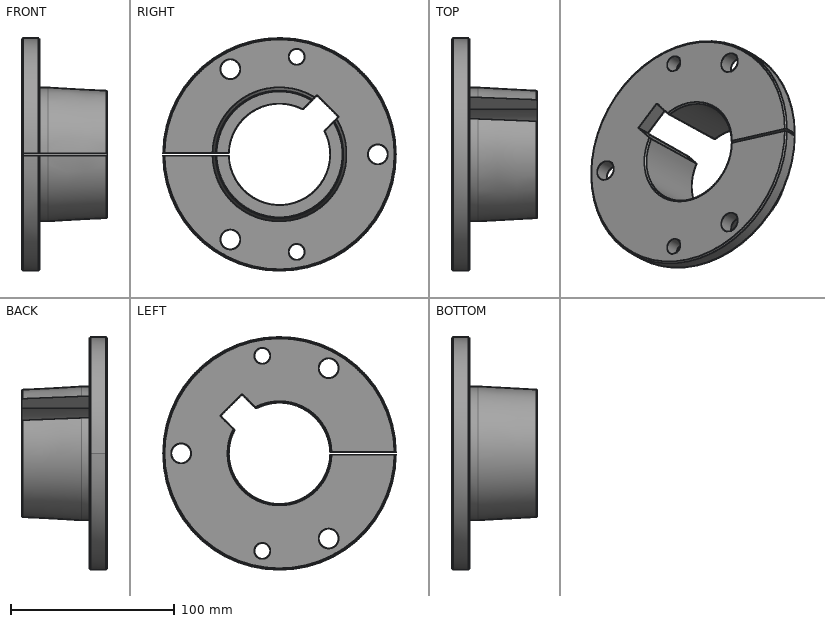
import cadquery as cq
import math

length = 52.5
flange_diameter = 142.9
flange_thickness = 11.0
flange_chamfer = 1.0

hub_radius = 41.2
hub_tip_radius = 39.2
taper_start = 16.0
hub_tip_chamfer = 0.6

bore_radius = 31.0
bore_chamfer = 1.0

keyway_width = 18.7
keyway_floor = 41.9
keyway_angle = 45.0

slit_width = 1.5

bolt_circle_radius = 60.3
bolt_hole_diameter = 12.0
bolt_hole_angles = (0, 120, 240)
jack_circle_radius = 60.7
jack_hole_diameter = 9.6
jack_hole_angles = (80, 280)


def make_flange():
    """Round flange with both rims chamfered."""
    disc = cq.Workplane("YZ").circle(flange_diameter / 2).extrude(flange_thickness)
    return disc.edges().chamfer(flange_chamfer)


def make_hub():
    """Hub with a short straight neck followed by a taper to the free end."""
    profile = [
        (0, 0),
        (0, hub_radius),
        (taper_start, hub_radius),
        (length, hub_tip_radius),
        (length, 0),
    ]
    hub = cq.Workplane("XY").polyline(profile).close().revolve(360, (0, 0, 0), (1, 0, 0))
    return hub.faces(">X").edges().chamfer(hub_tip_chamfer)


def make_bore():
    """Through bore, widened by a chamfer at the flange face."""
    profile = [
        (0, 0),
        (0, bore_radius + bore_chamfer),
        (bore_chamfer, bore_radius),
        (length, bore_radius),
        (length, 0),
    ]
    return cq.Workplane("XY").polyline(profile).close().revolve(360, (0, 0, 0), (1, 0, 0))


def make_keyway():
    """Full-length keyway; it is deeper than the hub wall and opens it."""
    block = cq.Workplane("XY").box(length, keyway_floor, keyway_width, centered=(False, False, True))
    return block.rotate((0, 0, 0), (1, 0, 0), keyway_angle)


def make_slit():
    """Clamping slit from the bore out through the -Y side."""
    block = cq.Workplane("XY").box(length, flange_diameter / 2, slit_width, centered=(False, False, True))
    return block.translate((0, -flange_diameter / 2, 0))


def make_holes(circle_radius, diameter, angles):
    """Through holes in the flange, with angles from +Y toward +Z."""
    centers = []
    for angle in angles:
        turn = math.radians(angle)
        centers.append((circle_radius * math.cos(turn), circle_radius * math.sin(turn)))
    return cq.Workplane("YZ").pushPoints(centers).circle(diameter / 2).extrude(flange_thickness)


result = make_flange().union(make_hub())
result = result.cut(make_bore()).cut(make_keyway()).cut(make_slit())
result = result.cut(make_holes(bolt_circle_radius, bolt_hole_diameter, bolt_hole_angles))
result = result.cut(make_holes(jack_circle_radius, jack_hole_diameter, jack_hole_angles))